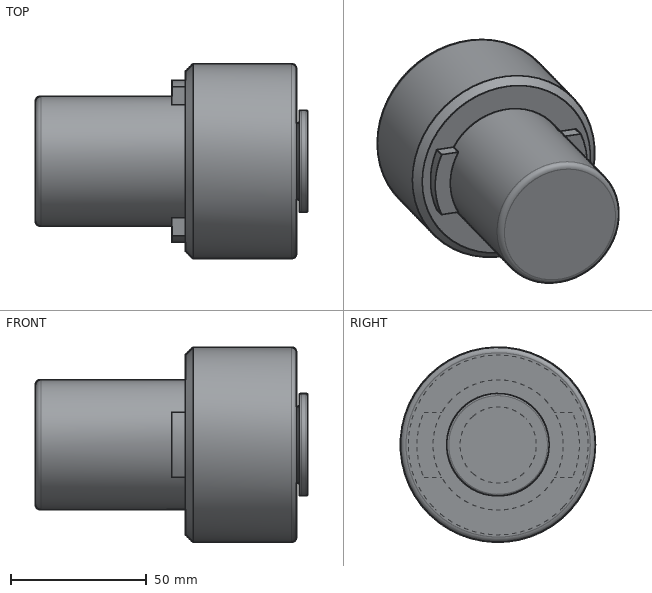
import cadquery as cq

total_length = 100.5

shaft_radius = 24.0
shaft_length = 55.4
shaft_end_fillet = 2.1

body_radius = 36.0
body_length = 41.0
body_front_chamfer = 2.8
body_back_fillet = 2.0

cap_radius = 18.9
cap_thickness = 3.2
cap_edge_fillet = 0.7
neck_radius = 14.1
neck_fillet = 0.5

key_outer_radius = 29.9
key_width = 24.0
key_length = 5.0

body_back = shaft_length + body_length
cap_front = total_length - cap_thickness


def cylinder(start, length, radius):
    """Solid cylinder along +X, starting at x = start."""
    return cq.Workplane("YZ", origin=(start, 0, 0)).circle(radius).extrude(length)


def make_shaft():
    """Shaft with a rounded free end."""
    return cylinder(0, shaft_length, shaft_radius).faces("<X").edges().fillet(shaft_end_fillet)


def make_body():
    """Large drum, chamfered towards the shaft and rounded at the back."""
    body = cylinder(shaft_length, body_length, body_radius)
    body = body.faces("<X").edges().chamfer(body_front_chamfer)
    return body.faces(">X").edges().fillet(body_back_fillet)


def make_cap():
    """Thin round cap held off the back of the drum by a narrower neck with a filleted joint."""
    cap = cylinder(cap_front, cap_thickness, cap_radius)
    cap = cap.edges().fillet(cap_edge_fillet)
    neck = cylinder(body_back, cap_front - body_back, neck_radius)
    joint = cq.selectors.BoxSelector(
        (cap_front - neck_fillet, -body_radius, -body_radius),
        (cap_front + neck_fillet, body_radius, body_radius),
        boundingbox=True,
    )
    neck_circle = cq.selectors.RadiusNthSelector(0)
    return cap.union(neck).edges(joint).edges(neck_circle).fillet(neck_fillet)


def make_keys():
    """Two opposite keys with rounded outer faces, standing on the front of the drum."""
    key_start = shaft_length - key_length
    disc = cylinder(key_start, key_length, key_outer_radius)
    bar = (
        cq.Workplane("YZ", origin=(key_start, 0, 0))
        .rect(2 * body_radius, key_width)
        .extrude(key_length)
    )
    return disc.intersect(bar)


result = make_shaft().union(make_body()).union(make_cap()).union(make_keys())